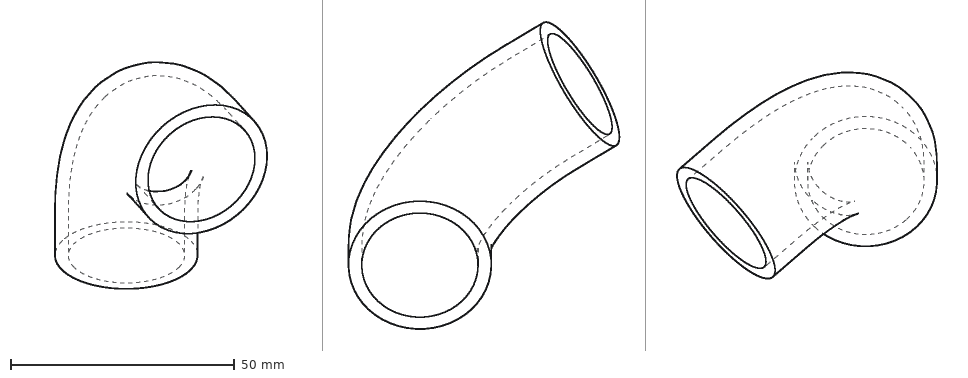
import cadquery as cq

overall_length = 59.0
outer_diameter = 32.0
bore_diameter = 26.0

bend_radius = outer_diameter
straight_length = overall_length - bend_radius - outer_diameter / 2


def elbow_rod(diameter):
    """Solid round bar rising along Z, bending through 90 degrees and leaving along +X."""
    lower_end = cq.Workplane("XY").circle(diameter / 2).extrude(straight_length)
    bend = (
        cq.Workplane("XY", origin=(0, 0, straight_length))
        .circle(diameter / 2)
        .revolve(90, (bend_radius, 0), (bend_radius, 1))
    )
    upper_end = (
        cq.Workplane("YZ", origin=(bend_radius, 0, straight_length + bend_radius))
        .circle(diameter / 2)
        .extrude(straight_length)
    )
    return lower_end.union(bend).union(upper_end)


result = elbow_rod(outer_diameter).cut(elbow_rod(bore_diameter))